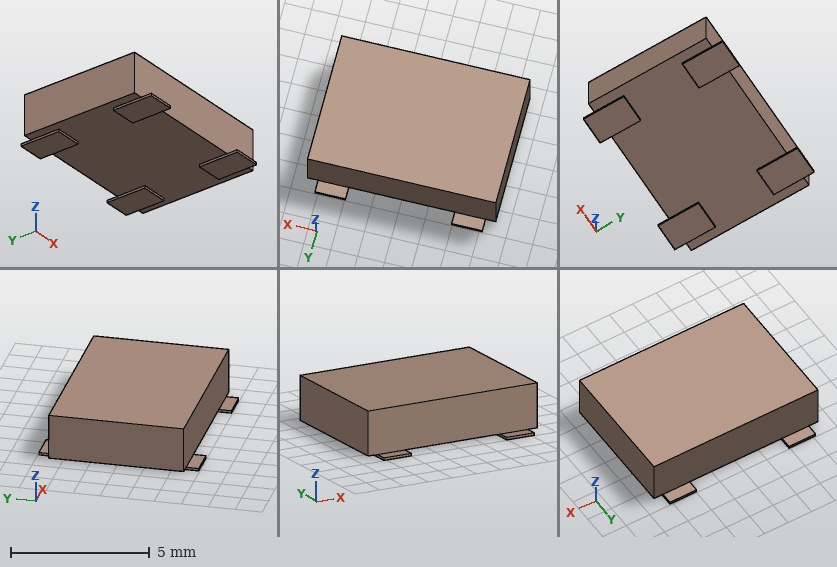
import cadquery as cq

body_length = 7.0
body_width = 5.0
overall_height = 1.8

lead_thickness = 0.1
lead_width = 1.14
lead_length = 1.72
lead_pitch = 5.08
lead_tip_span = 5.92

body_height = overall_height - lead_thickness
lead_center_y = (lead_tip_span - lead_length) / 2


def make_body():
    """Plain rectangular block resting on top of the leads."""
    return (
        cq.Workplane("XY")
        .workplane(offset=lead_thickness)
        .rect(body_length, body_width)
        .extrude(body_height)
    )


def make_lead(center_x, center_y):
    """Flat strip with its underside at Z = 0, touching the block from below."""
    return (
        cq.Workplane("XY")
        .center(center_x, center_y)
        .rect(lead_width, lead_length)
        .extrude(lead_thickness)
    )


body = make_body()

leads = []
for side_x in (-1, 1):
    for side_y in (-1, 1):
        lead = make_lead(side_x * lead_pitch / 2, side_y * lead_center_y)
        leads.append(lead.val())

result = cq.Compound.makeCompound([body.val(), *leads])